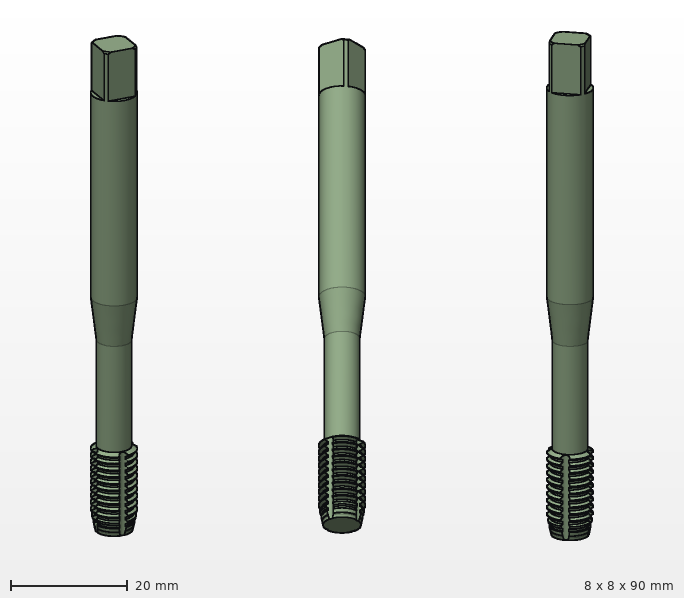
import cadquery as cq
import math

TOTAL_LENGTH = 90.0
HEAD_LENGTH = 15.5
CONE_START = 35.2
CONE_END = 43.1
SQUARE_LENGTH = 9.0

SHANK_RADIUS = 4.0
NECK_RADIUS = 3.05
SQUARE_WIDTH = 6.2
SQUARE_CHAMFER = 0.3

PITCH = 1.25
CREST_RADIUS = SHANK_RADIUS
ROOT_RADIUS = 3.38
CREST_WIDTH = PITCH / 8
FLANK_ANGLE = 30.0
FLANK_RUN = (CREST_RADIUS - ROOT_RADIUS) * math.tan(math.radians(FLANK_ANGLE))
TOP_CREST_Z = 15.0
RING_COUNT = 12

TIP_RADIUS = 3.25
LEAD_LENGTH = 3.5
BACK_CHAMFER_LENGTH = 0.5

GROOVE_COUNT = 4
GROOVE_RADIUS = 0.78
GROOVE_BOTTOM = 3.15
GROOVE_CENTER = GROOVE_BOTTOM + GROOVE_RADIUS


def make_shank():
    """Neck, cone and cylinder, ending in a driving square with bevelled corners."""
    square_z = TOTAL_LENGTH - SQUARE_LENGTH
    body = (
        cq.Workplane("XZ")
        .moveTo(0, HEAD_LENGTH)
        .lineTo(NECK_RADIUS, HEAD_LENGTH)
        .lineTo(NECK_RADIUS, CONE_START)
        .lineTo(SHANK_RADIUS, CONE_END)
        .lineTo(SHANK_RADIUS, TOTAL_LENGTH - SQUARE_CHAMFER)
        .lineTo(SHANK_RADIUS - SQUARE_CHAMFER, TOTAL_LENGTH)
        .lineTo(0, TOTAL_LENGTH)
        .close()
        .revolve(360, (0, 0, 0), (0, 1, 0))
    )
    square_waste = (
        cq.Workplane("XY", origin=(0, 0, square_z))
        .circle(2 * SHANK_RADIUS)
        .rect(SQUARE_WIDTH, SQUARE_WIDTH)
        .extrude(SQUARE_LENGTH)
    )
    return body.cut(square_waste)


def make_ring(crest_z):
    """One thread ring: a trapezoid revolved about Z, its base sunk into the core."""
    half_crest = CREST_WIDTH / 2
    half_base = half_crest + FLANK_RUN
    return (
        cq.Workplane("XZ")
        .moveTo(0, crest_z - half_base)
        .lineTo(ROOT_RADIUS, crest_z - half_base)
        .lineTo(CREST_RADIUS, crest_z - half_crest)
        .lineTo(CREST_RADIUS, crest_z + half_crest)
        .lineTo(ROOT_RADIUS, crest_z + half_base)
        .lineTo(0, crest_z + half_base)
        .close()
        .revolve(360, (0, 0, 0), (0, 1, 0))
    )


def make_head_envelope():
    """Outer limit of the head: tapered lead, full diameter, back chamfer down to the neck."""
    return (
        cq.Workplane("XZ")
        .lineTo(TIP_RADIUS, 0)
        .lineTo(CREST_RADIUS, LEAD_LENGTH)
        .lineTo(CREST_RADIUS, HEAD_LENGTH - BACK_CHAMFER_LENGTH)
        .lineTo(NECK_RADIUS, HEAD_LENGTH)
        .lineTo(0, HEAD_LENGTH)
        .close()
        .revolve(360, (0, 0, 0), (0, 1, 0))
    )


def make_head():
    """Threaded head with its lead taper and straight oil grooves."""
    head = cq.Workplane("XY").circle(ROOT_RADIUS).extrude(HEAD_LENGTH)
    for index in range(RING_COUNT):
        head = head.union(make_ring(TOP_CREST_Z - index * PITCH))
    head = head.intersect(make_head_envelope())
    grooves = (
        cq.Workplane("XY")
        .polarArray(GROOVE_CENTER, 0, 360, GROOVE_COUNT)
        .circle(GROOVE_RADIUS)
        .extrude(HEAD_LENGTH)
    )
    return head.cut(grooves)


shank = make_shank()
head = make_head()

result = cq.Compound.makeCompound([shank.val(), head.val()])